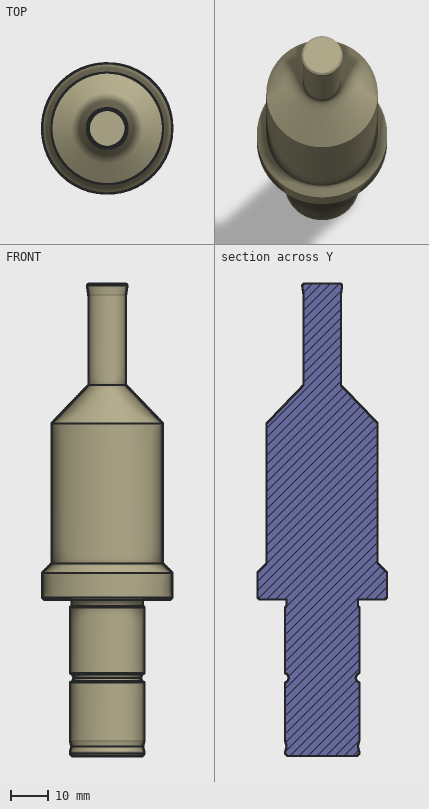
import cadquery as cq

total_height = 127.0
stem_radius = 5.1
tip_radius = 5.5
body_radius = 15.0
flange_radius = 17.5
shank_radius = 10.0

flange_bottom = 42.0
flange_shoulder = 49.3
body_top = 89.4
stem_bottom = 99.7

tip_chamfer = 0.5
tip_flare_height = 2.7
flange_edge_chamfer = 0.6
neck_height = 1.7
neck_depth = 0.4
neck_taper_height = 0.4

groove_bottom = 19.8
groove_width = 2.5
groove_edge_depth = 0.6
groove_edge_height = 0.4
groove_waist_depth = 1.0

relief_bottom = 1.1
relief_waist = 2.7
relief_top = 4.2
relief_depth = 0.4
end_chamfer = 0.6
end_chamfer_height = 0.8


def shank_outline():
    """Radius and height points from the shank end up to the flange."""
    groove_top = groove_bottom + groove_width
    groove_radius = shank_radius - groove_edge_depth
    neck_bottom = flange_bottom - neck_height - neck_taper_height
    neck_radius = shank_radius - neck_depth
    return [
        (0, 0),
        (shank_radius - end_chamfer, 0),
        (shank_radius, end_chamfer_height),
        (shank_radius, relief_bottom),
        (shank_radius - relief_depth, relief_waist),
        (shank_radius, relief_top),
        (shank_radius, groove_bottom),
        (groove_radius, groove_bottom + groove_edge_height),
        (shank_radius - groove_waist_depth, groove_bottom + groove_width / 2),
        (groove_radius, groove_top - groove_edge_height),
        (shank_radius, groove_top),
        (shank_radius, neck_bottom),
        (neck_radius, neck_bottom + neck_taper_height),
        (neck_radius, flange_bottom),
    ]


def upper_outline():
    """Radius and height points from the flange up to the tip."""
    body_bottom = flange_shoulder + flange_radius - body_radius
    rim_height = total_height - tip_chamfer
    return [
        (flange_radius - flange_edge_chamfer, flange_bottom),
        (flange_radius, flange_bottom + flange_edge_chamfer),
        (flange_radius, flange_shoulder),
        (body_radius, body_bottom),
        (body_radius, body_top),
        (stem_radius, stem_bottom),
        (stem_radius, rim_height - tip_flare_height),
        (tip_radius, rim_height),
        (tip_radius - tip_chamfer, total_height),
        (0, total_height),
    ]


result = (
    cq.Workplane("XZ")
    .polyline(shank_outline() + upper_outline())
    .close()
    .revolve(360, (0, 0, 0), (0, 1, 0))
)